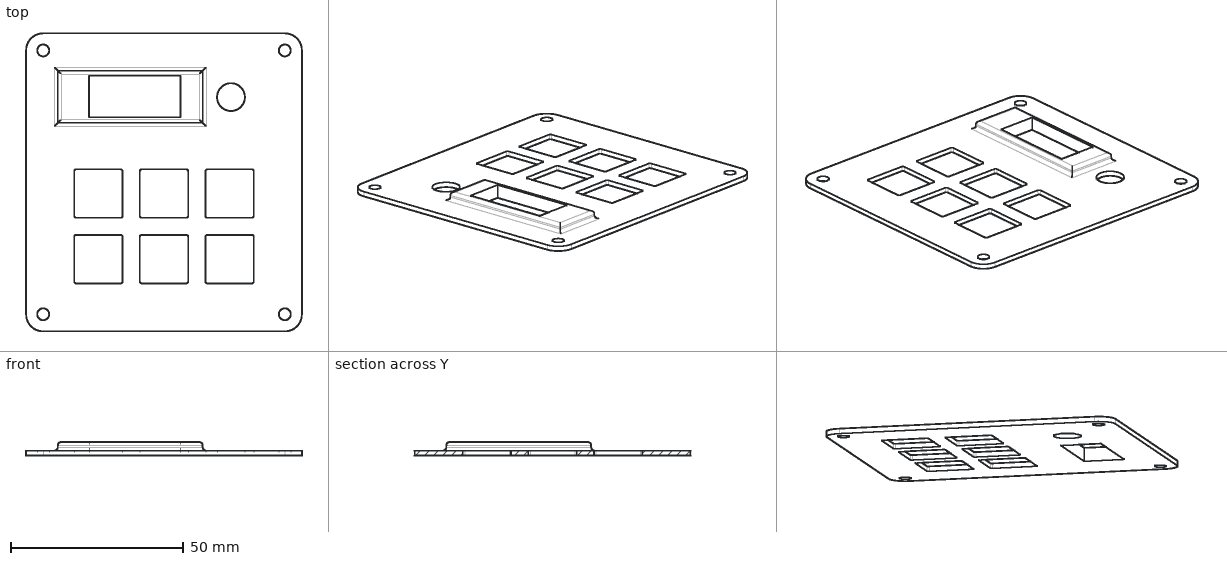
import cadquery as cq

plate_length_x = 80.15
plate_length_y = 86.6
plate_thickness = 1.5
plate_corner_radius = 5.0

screw_hole_diameter = 3.4
screw_spacing_x = plate_length_x - 2 * plate_corner_radius
screw_spacing_y = plate_length_y - 2 * plate_corner_radius

overall_height = 4.0
bezel_length_x = 42.1
bezel_length_y = 15.2
bezel_center = (-9.8, 24.85)
rim_radius = 1.0
foot_radius = 1.0

window_length_x = 26.5
window_length_y = 12.0
window_center = (-8.5, 24.95)

knob_hole_diameter = 8.02
knob_hole_center = (19.45, 24.75)

key_opening = 14.0
key_corner_radius = 0.5
key_pitch = 19.05
key_columns = 3
key_rows = 2
key_grid_center = (0.0, -12.78)


def make_plate():
    return (
        cq.Workplane("XY")
        .rect(plate_length_x, plate_length_y)
        .extrude(plate_thickness)
        .edges("|Z")
        .fillet(plate_corner_radius)
    )


def bezel_bar(plane, half_width, bar_length):
    """Bar with the bezel's moulded profile on both sides, centred on its length."""
    foot_edge = half_width + foot_radius
    foot_top = plate_thickness + foot_radius
    rim_base = overall_height - rim_radius
    rim_edge = half_width - rim_radius
    return (
        cq.Workplane(plane)
        .moveTo(-foot_edge, plate_thickness)
        .lineTo(foot_edge, plate_thickness)
        .radiusArc((half_width, foot_top), foot_radius)
        .lineTo(half_width, rim_base)
        .radiusArc((rim_edge, overall_height), -rim_radius)
        .lineTo(-rim_edge, overall_height)
        .radiusArc((-half_width, rim_base), -rim_radius)
        .lineTo(-half_width, foot_top)
        .radiusArc((-foot_edge, plate_thickness), foot_radius)
        .close()
        .extrude(bar_length / 2, both=True)
    )


def make_bezel():
    """Two crossing profiled bars; their common volume has mitred corners."""
    bar_along_y = bezel_bar("XZ", bezel_length_x / 2, bezel_length_y + 2 * foot_radius)
    bar_along_x = bezel_bar("YZ", bezel_length_y / 2, bezel_length_x + 2 * foot_radius)
    return bar_along_y.intersect(bar_along_x).translate(bezel_center + (0,))


def make_screw_holes():
    return (
        cq.Workplane("XY")
        .rect(screw_spacing_x, screw_spacing_y, forConstruction=True)
        .vertices()
        .circle(screw_hole_diameter / 2)
        .extrude(plate_thickness)
    )


def make_window():
    return (
        cq.Workplane("XY")
        .center(*window_center)
        .rect(window_length_x, window_length_y)
        .extrude(overall_height)
    )


def make_knob_hole():
    return (
        cq.Workplane("XY")
        .center(*knob_hole_center)
        .circle(knob_hole_diameter / 2)
        .extrude(plate_thickness)
    )


def make_key_openings():
    return (
        cq.Workplane("XY")
        .center(*key_grid_center)
        .rarray(key_pitch, key_pitch, key_columns, key_rows)
        .rect(key_opening, key_opening)
        .extrude(plate_thickness)
        .edges("|Z")
        .fillet(key_corner_radius)
    )


panel = make_plate().union(make_bezel())
result = (
    panel.cut(make_screw_holes())
    .cut(make_window())
    .cut(make_knob_hole())
    .cut(make_key_openings())
)